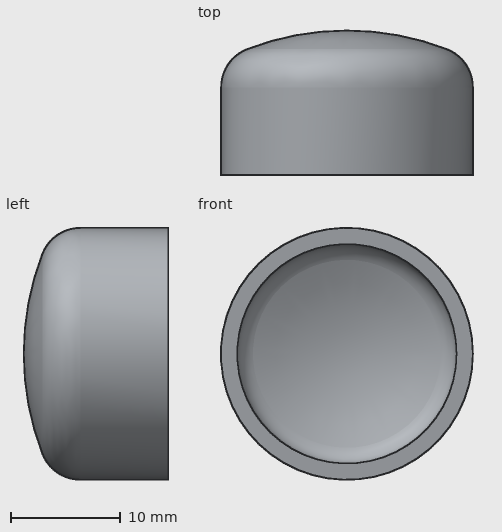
import cadquery as cq
import math

outer_diameter = 23.0
wall = 1.5
skirt_length = 8.0
total_length = 13.2
knuckle_radius = 3.75

outer_radius = outer_diameter / 2
knuckle_center_radius = outer_radius - knuckle_radius

crown_rise = total_length - skirt_length - knuckle_radius
crown_radius = knuckle_radius + (knuckle_center_radius**2 + crown_rise**2) / (2 * crown_rise)
crown_center = total_length - crown_radius

skirt_angle = math.pi / 2
crown_angle = math.asin(knuckle_center_radius / (crown_radius - knuckle_radius))


def arc_point(center, radius, angle):
    """Point on a circle in the half-section, given as (radial, axial)."""
    radial, axial = center
    return (radial + radius * math.sin(angle), axial + radius * math.cos(angle))


def domed_solid(inset):
    """Skirt, knuckle and crown revolved about Y, offset inward by inset."""

    def knuckle_point(angle):
        return arc_point((knuckle_center_radius, skirt_length), knuckle_radius - inset, angle)

    def crown_point(angle):
        return arc_point((0, crown_center), crown_radius - inset, angle)

    return (
        cq.Workplane("XY")
        .lineTo(outer_radius - inset, 0)
        .lineTo(*knuckle_point(skirt_angle))
        .threePointArc(knuckle_point((skirt_angle + crown_angle) / 2), knuckle_point(crown_angle))
        .threePointArc(crown_point(crown_angle / 2), crown_point(0))
        .close()
        .revolve(360, (0, 0), (0, 1))
    )


result = domed_solid(0).cut(domed_solid(wall))